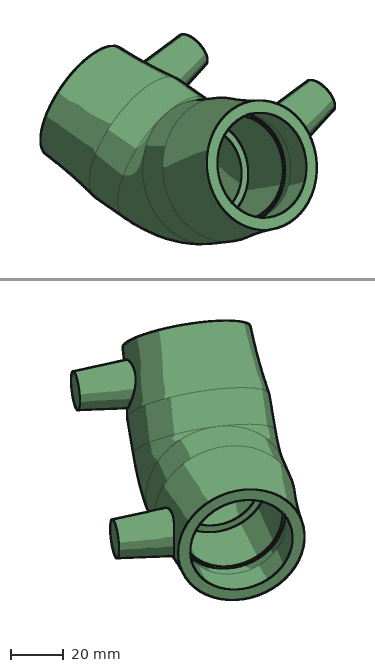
import cadquery as cq
import math


body_radius = 27.5
mouth_radius = 24.75
leg_length = 41.6
taper_length = 27.2
taper_sag = 0.45

bend_angle = 45
pivot_clearance = 0.02
bend_radius = body_radius + pivot_clearance

socket_radius = 20
bend_bore_radius = 17
groove_radius = 21
groove_start = 11.2
groove_end = 16.8

shroud_from_mouth = 15.2
shroud_tip_y = 46
shroud_root_y = 22
shroud_tip_radius = 7.5
shroud_draft_angle = 5


def leg_body():
    """Solid leg along X: a curved taper from the mouth, then a plain cylinder."""
    taper_middle = (taper_length / 2, (mouth_radius + body_radius) / 2 - taper_sag)
    return (
        cq.Workplane("XY")
        .lineTo(0, mouth_radius)
        .threePointArc(taper_middle, (taper_length, body_radius))
        .lineTo(leg_length, body_radius)
        .lineTo(leg_length, 0)
        .close()
        .revolve(360, (0, 0), (1, 0))
    )


def leg_bore():
    """Socket along X with an undercut groove that widens away from the mouth."""
    return (
        cq.Workplane("XY")
        .lineTo(0, socket_radius)
        .lineTo(groove_start, socket_radius)
        .lineTo(groove_end, groove_radius)
        .lineTo(groove_end, socket_radius)
        .lineTo(leg_length, socket_radius)
        .lineTo(leg_length, 0)
        .close()
        .revolve(360, (0, 0), (1, 0))
    )


def shroud():
    """Tapered terminal shroud, rooted inside the leg wall."""
    height = shroud_tip_y - shroud_root_y
    root_radius = shroud_tip_radius + height * math.tan(math.radians(shroud_draft_angle))
    return cq.Workplane(
        cq.Solid.makeCone(
            root_radius,
            shroud_tip_radius,
            height,
            pnt=cq.Vector(shroud_from_mouth, shroud_root_y, 0),
            dir=cq.Vector(0, 1, 0),
        )
    )


def bend(radius):
    """Disc on the end of the first leg, swung up about the pivot."""
    return (
        cq.Workplane("YZ", origin=(leg_length, 0, 0))
        .circle(radius)
        .revolve(bend_angle, (0, bend_radius), (-1, bend_radius))
    )


def second_leg(first_leg):
    """Mirror image of the first leg, turned about the bend pivot."""
    pivot = (leg_length, 0, bend_radius)
    pivot_axis_end = (leg_length, 1, bend_radius)
    mirrored = first_leg.mirror("YZ", (leg_length, 0, 0))
    return mirrored.rotate(pivot, pivot_axis_end, -bend_angle)


leg = leg_body().union(shroud()).cut(leg_bore())
elbow_bend = bend(body_radius).cut(bend(bend_bore_radius))
result = leg.union(elbow_bend).union(second_leg(leg))